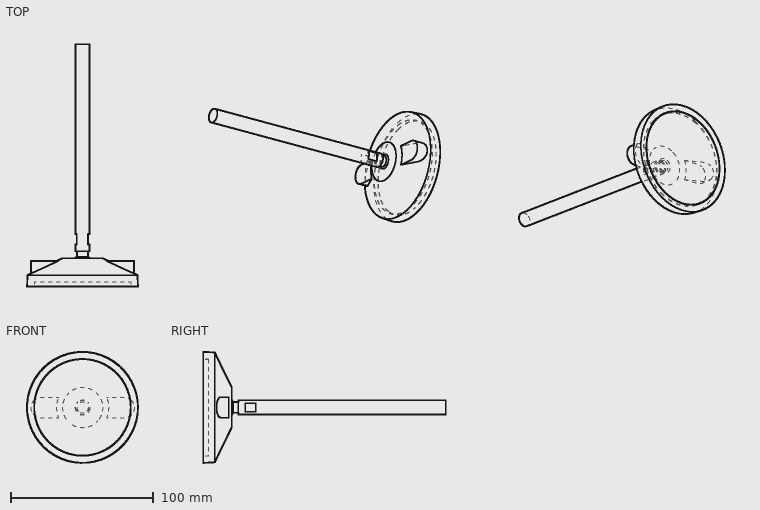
import cadquery as cq

total_length = 170.0

face_diameter = 78.0
rim_back_diameter = 77.2
rim_height = 8.2
cone_top_diameter = 28.2
cup_height = 20.0

gap_outer_diameter = 68.0
gap_inner_diameter = 67.5
gap_depth = 3.4

shaft_diameter = 10.0
shaft_start = 24.6
neck_diameter = 7.8
flare_diameter = 10.5
flare_height = 0.8

flats_width = 8.0
flats_start = 29.5
flats_length = 7.3

bar_length = 72.5
bar_width = 14.3
bar_top = 18.0


def section_at(y):
    """Workplane across the axis at height y, extruding toward +Y."""
    plane = cq.Plane(origin=(0, y, 0), xDir=(1, 0, 0), normal=(0, 1, 0))
    return cq.Workplane(plane)


def make_turned_body():
    """Cup, neck and shaft as one revolved profile of (radius, y) points."""
    profile = [
        (0, 0),
        (face_diameter / 2, 0),
        (rim_back_diameter / 2, rim_height),
        (cone_top_diameter / 2, cup_height),
        (flare_diameter / 2, cup_height),
        (neck_diameter / 2, cup_height + flare_height),
        (neck_diameter / 2, shaft_start),
        (shaft_diameter / 2, shaft_start),
        (shaft_diameter / 2, total_length),
        (0, total_length),
    ]
    return cq.Workplane("XY").polyline(profile).close().revolve(360, (0, 0, 0), (0, 1, 0))


def make_bar():
    return section_at(rim_height).slot2D(bar_length, bar_width).extrude(bar_top - rim_height)


def make_face_gap():
    ring = section_at(0).circle(gap_outer_diameter / 2).circle(gap_inner_diameter / 2)
    return ring.extrude(gap_depth)


def make_flats_cutter():
    """Material outside the two flats, which face -X and +X."""
    shaft_band = section_at(flats_start).rect(2 * shaft_diameter, 2 * shaft_diameter).extrude(flats_length)
    kept_core = section_at(flats_start).rect(flats_width, 2 * shaft_diameter).extrude(flats_length)
    return shaft_band.cut(kept_core)


result = make_turned_body().union(make_bar()).cut(make_face_gap()).cut(make_flats_cutter())